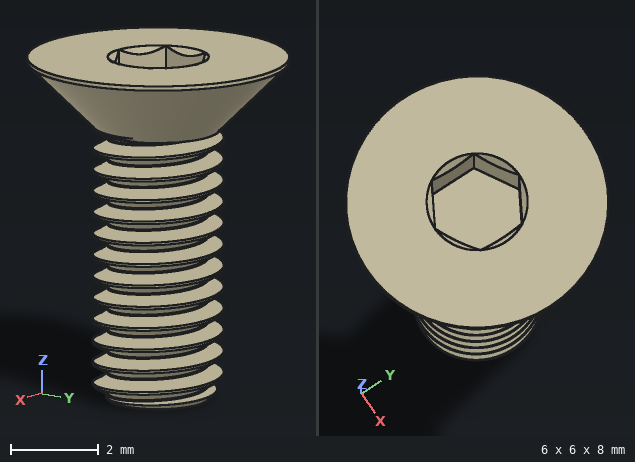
import cadquery as cq
import math

TOTAL_LENGTH = 8.0
HEAD_RADIUS = 3.0
HEAD_HEIGHT = 1.7
RIM_HEIGHT = 0.1
HEAD_BASE_RADIUS = HEAD_RADIUS - (HEAD_HEIGHT - RIM_HEIGHT)
HEAD_OVERLAP = 0.2

THREAD_RADIUS = 1.5
PITCH = 0.5
CREST_WIDTH = PITCH / 8
THREAD_DEPTH = 0.35
FLANK_HALF_ANGLE = math.radians(30)
ROOT_RADIUS = THREAD_RADIUS - THREAD_DEPTH
ROOT_WIDTH = PITCH - CREST_WIDTH - 2 * THREAD_DEPTH * math.tan(FLANK_HALF_ANGLE)
CREST_DROP = 1.59
GROOVE_OVERRUN = 0.1
TIP_RADIUS = ROOT_RADIUS

SOCKET_ACROSS_FLATS = 2.0
SOCKET_DEPTH = 1.16
SOCKET_TURN = 30
SOCKET_CORNER_RADIUS = SOCKET_ACROSS_FLATS / math.sqrt(3)

HEAD_BASE_Z = TOTAL_LENGTH - HEAD_HEIGHT
SHANK_TOP_Z = HEAD_BASE_Z + HEAD_OVERLAP

CREST_Z = TOTAL_LENGTH - CREST_DROP
EXTRA_TURNS = 2
GROOVE_TURNS = math.ceil(CREST_Z / PITCH) + EXTRA_TURNS
GROOVE_TOP_Z = CREST_Z + PITCH + PITCH / 2
GROOVE_START_Z = GROOVE_TOP_Z - GROOVE_TURNS * PITCH


def make_head():
    """Countersunk head with a narrow cylindrical rim."""
    return (
        cq.Workplane("XZ")
        .moveTo(0, HEAD_BASE_Z)
        .lineTo(HEAD_BASE_RADIUS, HEAD_BASE_Z)
        .lineTo(HEAD_RADIUS, TOTAL_LENGTH - RIM_HEIGHT)
        .lineTo(HEAD_RADIUS, TOTAL_LENGTH)
        .lineTo(0, TOTAL_LENGTH)
        .close()
        .revolve(360, (0, 0, 0), (0, 1, 0))
    )


def make_threaded_rod():
    """Rod with a right-handed helical groove, longer than the shank at both ends."""
    half_root = ROOT_WIDTH / 2
    half_mouth = half_root + (THREAD_DEPTH + GROOVE_OVERRUN) * math.tan(FLANK_HALF_ANGLE)
    mouth_radius = THREAD_RADIUS + GROOVE_OVERRUN
    helix = cq.Wire.makeHelix(PITCH, GROOVE_TURNS * PITCH, THREAD_RADIUS)
    groove = (
        cq.Workplane("XZ")
        .moveTo(ROOT_RADIUS, -half_root)
        .lineTo(mouth_radius, -half_mouth)
        .lineTo(mouth_radius, half_mouth)
        .lineTo(ROOT_RADIUS, half_root)
        .close()
        .sweep(cq.Workplane(obj=helix), isFrenet=True)
        .translate((0, 0, GROOVE_START_Z))
    )
    rod = (
        cq.Workplane("XY", origin=(0, 0, GROOVE_START_Z - PITCH))
        .circle(THREAD_RADIUS)
        .extrude((GROOVE_TURNS + 2) * PITCH)
    )
    return rod.cut(groove)


def make_shank_envelope():
    """Space the shank may fill: flat tip, 45 degree tip cone, top inside the head."""
    return (
        cq.Workplane("XZ")
        .lineTo(TIP_RADIUS, 0)
        .lineTo(HEAD_RADIUS, HEAD_RADIUS - TIP_RADIUS)
        .lineTo(HEAD_RADIUS, SHANK_TOP_Z)
        .lineTo(0, SHANK_TOP_Z)
        .close()
        .revolve(360, (0, 0, 0), (0, 1, 0))
    )


def make_socket():
    """Hexagonal socket with a 45 degree countersink through its corners."""
    inner_radius = SOCKET_ACROSS_FLATS / 2
    countersink_floor_z = TOTAL_LENGTH - (SOCKET_CORNER_RADIUS - inner_radius)
    hexagon = (
        cq.Workplane("XY", origin=(0, 0, TOTAL_LENGTH))
        .polygon(6, 2 * SOCKET_CORNER_RADIUS)
        .extrude(-SOCKET_DEPTH)
        .rotate((0, 0, 0), (0, 0, 1), SOCKET_TURN)
    )
    countersink = (
        cq.Workplane("XZ")
        .moveTo(0, TOTAL_LENGTH)
        .lineTo(SOCKET_CORNER_RADIUS, TOTAL_LENGTH)
        .lineTo(inner_radius, countersink_floor_z)
        .lineTo(0, countersink_floor_z)
        .close()
        .revolve(360, (0, 0, 0), (0, 1, 0))
    )
    return hexagon.union(countersink)


shank = make_threaded_rod().intersect(make_shank_envelope())
result = shank.union(make_head()).cut(make_socket())